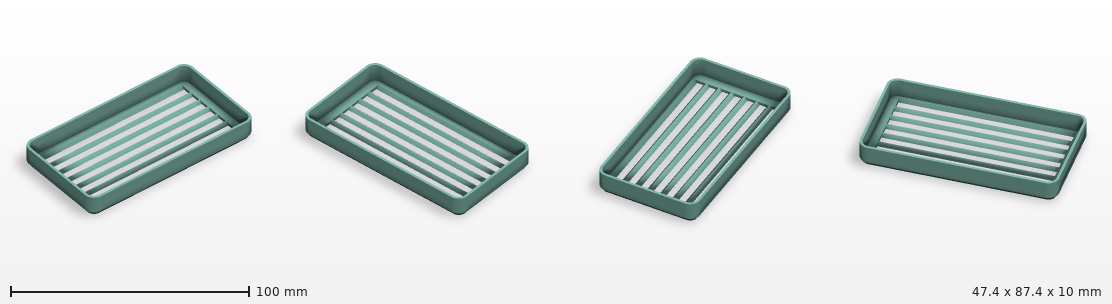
import cadquery as cq

inner_width = 45.0
inner_length = 85.0
wall = 1.2
height = 10.0
inner_corner_radius = 3.5
floor_thickness = 1.4

outer_width = inner_width + 2 * wall
outer_length = inner_length + 2 * wall
outer_corner_radius = inner_corner_radius + wall

bevel_height = 2.0
bevel_inset = 1.4

slot_count = 7
slot_pitch = 6.0
bar_top_width = 0.4
slot_top_width = slot_pitch - bar_top_width
slot_bottom_width = 3.0
slot_length = 77.5

pattern_shift_x = 0.5
pattern_shift_y = 0.25


def rounded_block(width, length, radius, bottom, top):
    """Upright block centred on Z with rounded vertical edges."""
    block = cq.Workplane("XY").workplane(offset=bottom).rect(width, length).extrude(top - bottom)
    return block.edges("|Z").fillet(radius)


def make_shell():
    """Open tray with a bevelled underside and a flat floor."""
    body = rounded_block(outer_width, outer_length, outer_corner_radius, 0, height)
    body = body.faces("<Z").chamfer(bevel_height, bevel_inset)
    cavity = rounded_block(inner_width, inner_length, inner_corner_radius, floor_thickness, height)
    return body.cut(cavity)


def make_slot(center_x):
    """Trapezoidal prism through the floor, with sloped long sides and upright ends."""
    half_top = slot_top_width / 2
    half_bottom = slot_bottom_width / 2
    profile = [
        (center_x - half_bottom, 0),
        (center_x + half_bottom, 0),
        (center_x + half_top, floor_thickness),
        (center_x - half_top, floor_thickness),
    ]
    slot = cq.Workplane("XZ").polyline(profile).close().extrude(slot_length / 2, both=True)
    return slot.translate((0, pattern_shift_y, 0))


first_slot_x = pattern_shift_x - (slot_count - 1) * slot_pitch / 2

result = make_shell()
for index in range(slot_count):
    result = result.cut(make_slot(first_slot_x + index * slot_pitch))